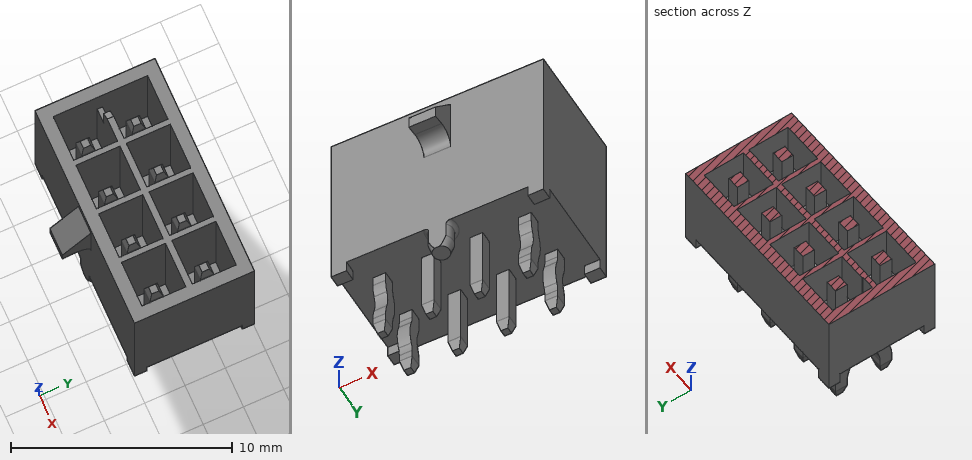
import cadquery as cq
import math


housing_length = 10.94
housing_depth = 5.96
housing_height = 8.46
floor_thickness = 1.5
front_y = -housing_depth / 2

pitch = 2.5
column_count = 4
row_count = 2
column_xs = [(i - (column_count - 1) / 2) * pitch for i in range(column_count)]
row_ys = [(i - (row_count - 1) / 2) * pitch for i in range(row_count)]

column_wall = 0.26
row_wall = 0.32
cavity_length = pitch - column_wall
cavity_depth = pitch - row_wall

notch_length = 0.706
notch_depth = 2.0
notch_chamfer = 0.4
ledge_step = 0.05

foot_length = 0.80
foot_depth = 0.61
foot_height = 0.59

latch_width = 1.38
latch_reach = 1.42
latch_top_drop = 0.49
latch_nose_top_drop = 2.13
latch_nose_bottom_drop = 2.77
latch_root_drop = 3.42
latch_hollow_radius = 0.74
latch_underside_angle = math.radians(8)

peg_radius = 0.6
peg_tip_radius = 0.42
peg_length = 1.57
peg_tip_length = 0.57
peg_setback = 0.40
peg_root_fillet = 0.2

pin_width = 0.66
pin_tip_width = 0.36
pin_tip_length = 0.565
pin_taper = math.degrees(math.atan((pin_width - pin_tip_width) / 2 / pin_tip_length))
pin_length_above = 6.0
overall_height = 12.3
straight_pin_length = overall_height - housing_height
kinked_pin_shortfall = 0.05
kinked_pin_length = straight_pin_length - kinked_pin_shortfall

kink_start = 0.53
kink_angle = math.radians(19.7)
hollow_entry_height = 0.66
hollow_crest_height = 0.985
kink_end = kink_start + 2 * hollow_entry_height + hollow_crest_height
hollow_entry_radius = hollow_entry_height / math.sin(kink_angle)


def block(x_size, y_size, bottom, top):
    """Box centred on the Z axis between two heights."""
    return cq.Workplane("XY").workplane(offset=bottom).rect(x_size, y_size).extrude(top - bottom)


def make_shell():
    """Housing with its cavities open at the top and a foot under each corner."""
    shell = block(housing_length, housing_depth, 0, housing_height)
    cavity = block(cavity_length, cavity_depth, floor_thickness, housing_height)
    foot = block(foot_length, foot_depth, -foot_height, 0)
    for x in column_xs:
        for y in row_ys:
            shell = shell.cut(cavity.translate((x, y, 0)))
    for x_side in (-1, 1):
        for y_side in (-1, 1):
            foot_x = x_side * (housing_length - foot_length) / 2
            foot_y = y_side * (housing_depth - foot_depth) / 2
            shell = shell.union(foot.translate((foot_x, foot_y, 0)))
    return shell


def cut_notch(shell):
    """Open the wall between the rows at its -X end, leaving a slightly thinner ledge below."""
    start_x = column_xs[0] - cavity_length / 2
    end_x = start_x + notch_length
    ledge_z = housing_height - notch_depth
    notch = (
        cq.Workplane("XZ")
        .moveTo(start_x, ledge_z)
        .lineTo(end_x, ledge_z)
        .lineTo(end_x, housing_height - notch_chamfer)
        .lineTo(end_x + notch_chamfer, housing_height)
        .lineTo(start_x, housing_height)
        .close()
        .extrude(row_wall / 2, both=True)
    )
    shaving_center = ((start_x + end_x) / 2, (row_wall - ledge_step) / 2, 0)
    shaving = block(notch_length, ledge_step, floor_thickness, ledge_z).translate(shaving_center)
    return shell.cut(notch).cut(shaving)


def latch_hollow_point(angle):
    """Point on the hollow under the latch, at an angle from straight up towards -Y."""
    center_y = front_y - latch_hollow_radius
    center_z = housing_height - latch_root_drop
    y = center_y - latch_hollow_radius * math.sin(angle)
    z = center_z + latch_hollow_radius * math.cos(angle)
    return y, z


def make_latch():
    """Ramp on the front face whose hollowed underside runs tangent into that face."""
    nose_y = front_y - latch_reach
    return (
        cq.Workplane("YZ")
        .moveTo(front_y, housing_height - latch_top_drop)
        .lineTo(nose_y, housing_height - latch_nose_top_drop)
        .lineTo(nose_y, housing_height - latch_nose_bottom_drop)
        .lineTo(*latch_hollow_point(latch_underside_angle))
        .threePointArc(latch_hollow_point(-math.pi / 4), latch_hollow_point(-math.pi / 2))
        .close()
        .extrude(latch_width / 2, both=True)
    )


def make_peg():
    """Round peg with a flared root and a tapered tip, sliced flush with the front face."""
    flare_radius = peg_radius + peg_root_fillet
    peg = (
        cq.Workplane("XZ")
        .lineTo(flare_radius, 0)
        .radiusArc((peg_radius, -peg_root_fillet), -peg_root_fillet)
        .lineTo(peg_radius, peg_tip_length - peg_length)
        .lineTo(peg_tip_radius, -peg_length)
        .lineTo(0, -peg_length)
        .close()
        .revolve(360, (0, 0), (0, 1))
        .translate((0, front_y + peg_setback, 0))
    )
    return peg.intersect(block(housing_length, housing_depth, -peg_length, 0))


def make_tip(start_z, direction):
    """Tapered square pin end that points up (direction 1) or down (direction -1)."""
    tip = cq.Workplane("XY").rect(pin_width, pin_width).extrude(pin_tip_length, taper=pin_taper)
    if direction < 0:
        tip = tip.mirror("XY")
    return tip.translate((0, 0, start_z))


def make_straight_pin():
    """Square pin tapered at both ends."""
    shank_top = pin_length_above - pin_tip_length
    shank_bottom = pin_tip_length - straight_pin_length
    shank = block(pin_width, pin_width, shank_bottom, shank_top)
    return shank.union(make_tip(shank_top, 1)).union(make_tip(shank_bottom, -1))


def kink_points(face_y, entry_radius):
    """Points from top to bottom where the arcs of one pin face start, join and end."""
    join_y = face_y + entry_radius * (1 - math.cos(kink_angle))
    entry_height = entry_radius * math.sin(kink_angle)
    return [
        (face_y, -kink_start),
        (join_y, -kink_start - entry_height),
        (join_y, -kink_end + entry_height),
        (face_y, -kink_end),
    ]


def make_kinked_pin():
    """Pin of constant thickness whose lower part bows towards +Y and returns."""
    shank_top = pin_length_above - pin_tip_length
    shank_bottom = pin_tip_length - kinked_pin_length
    half = pin_width / 2
    hollow_face = kink_points(-half, hollow_entry_radius)
    bulged_face = kink_points(half, hollow_entry_radius - pin_width)
    bulged_face.reverse()

    profile = cq.Workplane("YZ").moveTo(-half, shank_top).lineTo(*hollow_face[0])
    for point in hollow_face[1:]:
        profile = profile.tangentArcPoint(point, relative=False)
    profile = profile.lineTo(-half, shank_bottom).lineTo(half, shank_bottom).lineTo(*bulged_face[0])
    for point in bulged_face[1:]:
        profile = profile.tangentArcPoint(point, relative=False)
    shank = profile.lineTo(half, shank_top).close().extrude(half, both=True)
    return shank.union(make_tip(shank_top, 1)).union(make_tip(shank_bottom, -1))


def add_pins(body):
    """Kinked pins in the end columns and straight pins in between."""
    end_columns = (column_xs[0], column_xs[-1])
    straight_pin = make_straight_pin()
    kinked_pin = make_kinked_pin()
    for x in column_xs:
        for y in row_ys:
            pin = kinked_pin if x in end_columns else straight_pin
            if y > 0:
                pin = pin.mirror("XZ")
            body = body.union(pin.translate((x, y, 0)))
    return body


housing = cut_notch(make_shell()).union(make_latch()).union(make_peg())
result = add_pins(housing)